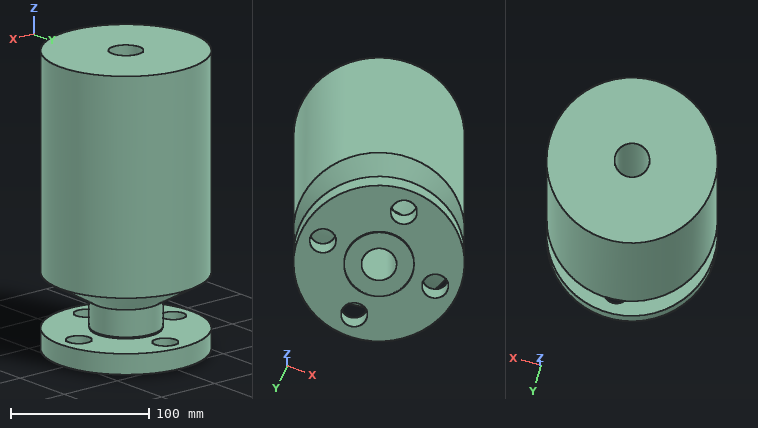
import cadquery as cq

total_height = 228.5
body_diameter = 124.0

raised_face_diameter = 50.7
raised_face_height = 1.5
flange_diameter = body_diameter
flange_thickness = 16.0
neck_diameter = 54.0
neck_length = 22.2
neck_foot_diameter = 52.8
neck_foot_height = 0.7
neck_bevel_height = 0.7
cone_height = 20.1
bore_diameter = 25.4

bolt_circle_diameter = 89.0
bolt_hole_diameter = 19.0
bolt_hole_count = 4

flange_bottom = raised_face_height
flange_top = flange_bottom + flange_thickness
foot_top = flange_top + neck_foot_height
bevel_top = foot_top + neck_bevel_height
cone_bottom = flange_top + neck_length
cone_top = cone_bottom + cone_height


def turned_body():
    """Solid of revolution: raised face, flange, bevelled neck, cone and cylinder."""
    profile = (
        cq.Workplane("XZ")
        .moveTo(0, 0)
        .lineTo(raised_face_diameter / 2, 0)
        .lineTo(raised_face_diameter / 2, flange_bottom)
        .lineTo(flange_diameter / 2, flange_bottom)
        .lineTo(flange_diameter / 2, flange_top)
        .lineTo(neck_foot_diameter / 2, flange_top)
        .lineTo(neck_foot_diameter / 2, foot_top)
        .lineTo(neck_diameter / 2, bevel_top)
        .lineTo(neck_diameter / 2, cone_bottom)
        .lineTo(body_diameter / 2, cone_top)
        .lineTo(body_diameter / 2, total_height)
        .lineTo(0, total_height)
        .close()
    )
    return profile.revolve(360, (0, 0, 0), (0, 1, 0))


def bolt_holes():
    """Cutters for the ring of through holes in the flange, one on each half axis."""
    return (
        cq.Workplane("XY")
        .workplane(offset=flange_bottom)
        .polarArray(bolt_circle_diameter / 2, 0, 360, bolt_hole_count)
        .circle(bolt_hole_diameter / 2)
        .extrude(flange_thickness)
    )


def central_bore():
    """Cutter for the straight bore along the whole axis."""
    return cq.Workplane("XY").circle(bore_diameter / 2).extrude(total_height)


result = turned_body().cut(bolt_holes()).cut(central_bore())